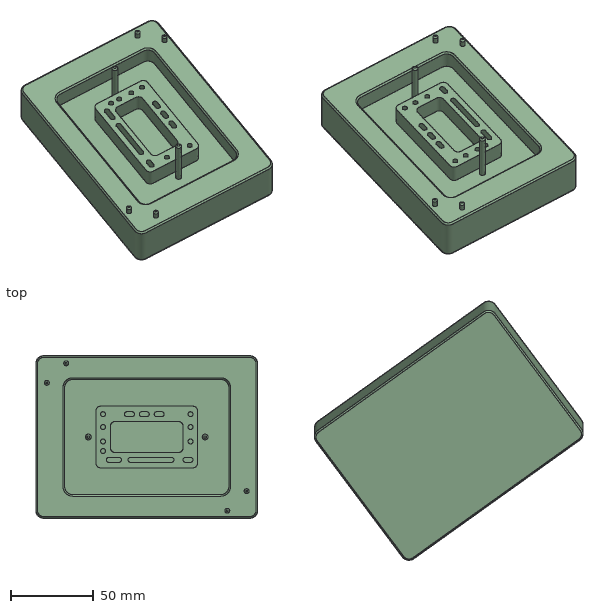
import cadquery as cq

BLOCK_LENGTH = 135.0
BLOCK_WIDTH = 99.0
BLOCK_HEIGHT = 28.1
BLOCK_CORNER_RADIUS = 5.0
EDGE_CHAMFER = 1.0

POCKET_LENGTH = 99.9
POCKET_WIDTH = 70.0
POCKET_DEPTH = 12.0
POCKET_CORNER_RADIUS = 5.0
FLOOR_Z = BLOCK_HEIGHT - POCKET_DEPTH

ISLAND_LENGTH = 62.0
ISLAND_WIDTH = 37.5
WINDOW_LENGTH = 44.3
WINDOW_WIDTH = 19.0
ISLAND_CORNER_DIAMETER = 6.1
ISLAND_CORNER_RADIUS = ISLAND_CORNER_DIAMETER / 2

HOLE_DIAMETER = 3.0
HOLE_DEPTH = POCKET_DEPTH
HOLE_COLUMN_X = 26.6
SLOT_ROW_Y = 13.9
LEFT_HOLE_YS = [SLOT_ROW_Y, 6.1, -2.7, -8.5]
RIGHT_HOLE_YS = LEFT_HOLE_YS[:3]
SHORT_SLOT_LENGTH = 6.1
MEDIUM_SLOT_LENGTH = 9.2
LONG_SLOT_LENGTH = 28.0
SLOTS = [
    (-10.5, SLOT_ROW_Y, SHORT_SLOT_LENGTH),
    (-1.5, SLOT_ROW_Y, SHORT_SLOT_LENGTH),
    (7.5, SLOT_ROW_Y, SHORT_SLOT_LENGTH),
    (-20.0, -SLOT_ROW_Y, MEDIUM_SLOT_LENGTH),
    (2.5, -SLOT_ROW_Y, LONG_SLOT_LENGTH),
    (25.1, -SLOT_ROW_Y, SHORT_SLOT_LENGTH),
]

PIN_TIP_CHAMFER = 1.0
PIN_SEAT_DEPTH = 5.0
LONG_PIN_DIAMETER = 3.5
LONG_PIN_TOP_Z = 48.0
LONG_PIN_X = 35.5
LONG_PIN_POSITIONS = [(-LONG_PIN_X, 0), (LONG_PIN_X, 0)]
SHORT_PIN_DIAMETER = 3.0
SHORT_PIN_PROJECTION = 5.0
SHORT_PIN_TOP_Z = BLOCK_HEIGHT + SHORT_PIN_PROJECTION
INNER_PIN_X, INNER_PIN_Y = 49.0, 44.8
OUTER_PIN_X, OUTER_PIN_Y = 60.8, 33.0
SHORT_PIN_POSITIONS = [
    (-INNER_PIN_X, INNER_PIN_Y),
    (-OUTER_PIN_X, OUTER_PIN_Y),
    (INNER_PIN_X, -INNER_PIN_Y),
    (OUTER_PIN_X, -OUTER_PIN_Y),
]


def rounded_box(length, width, height, radius, bottom_z):
    """Box centred in X and Y with rounded vertical edges."""
    box = cq.Workplane("XY", origin=(0, 0, bottom_z)).rect(length, width).extrude(height)
    return box.edges("|Z").fillet(radius)


def make_island():
    island = rounded_box(ISLAND_LENGTH, ISLAND_WIDTH, POCKET_DEPTH, ISLAND_CORNER_RADIUS, FLOOR_Z)
    window = rounded_box(WINDOW_LENGTH, WINDOW_WIDTH, POCKET_DEPTH, ISLAND_CORNER_RADIUS, FLOOR_Z)
    return island.cut(window)


def cut_island_holes(block):
    hole_points = [(-HOLE_COLUMN_X, y) for y in LEFT_HOLE_YS]
    hole_points += [(HOLE_COLUMN_X, y) for y in RIGHT_HOLE_YS]
    island_top = cq.Workplane("XY", origin=(0, 0, BLOCK_HEIGHT))
    block = block.cut(island_top.pushPoints(hole_points).circle(HOLE_DIAMETER / 2).extrude(-HOLE_DEPTH))
    for x, y, length in SLOTS:
        block = block.cut(island_top.center(x, y).slot2D(length, HOLE_DIAMETER).extrude(-HOLE_DEPTH))
    return block


def cut_pin_seats(block, positions, diameter, surface_z):
    surface = cq.Workplane("XY", origin=(0, 0, surface_z))
    return block.cut(surface.pushPoints(positions).circle(diameter / 2).extrude(-PIN_SEAT_DEPTH))


def make_block():
    block = rounded_box(BLOCK_LENGTH, BLOCK_WIDTH, BLOCK_HEIGHT, BLOCK_CORNER_RADIUS, 0)
    pocket = rounded_box(POCKET_LENGTH, POCKET_WIDTH, POCKET_DEPTH, POCKET_CORNER_RADIUS, FLOOR_Z)
    block = block.cut(pocket).faces("<Z or >Z").chamfer(EDGE_CHAMFER)
    block = block.union(make_island())
    block = cut_island_holes(block)
    block = cut_pin_seats(block, LONG_PIN_POSITIONS, LONG_PIN_DIAMETER, FLOOR_Z)
    return cut_pin_seats(block, SHORT_PIN_POSITIONS, SHORT_PIN_DIAMETER, BLOCK_HEIGHT)


def make_pin(position, diameter, surface_z, top_z):
    """Round pin from the bottom of its seat up to a chamfered tip."""
    bottom_z = surface_z - PIN_SEAT_DEPTH
    pin = cq.Workplane("XY", origin=(*position, bottom_z)).circle(diameter / 2).extrude(top_z - bottom_z)
    return pin.faces(">Z").chamfer(PIN_TIP_CHAMFER)


block = make_block()
long_pins = [make_pin(p, LONG_PIN_DIAMETER, FLOOR_Z, LONG_PIN_TOP_Z) for p in LONG_PIN_POSITIONS]
short_pins = [make_pin(p, SHORT_PIN_DIAMETER, BLOCK_HEIGHT, SHORT_PIN_TOP_Z) for p in SHORT_PIN_POSITIONS]

result = cq.Compound.makeCompound(
    [block.val()] + [pin.val() for pin in long_pins] + [pin.val() for pin in short_pins]
)